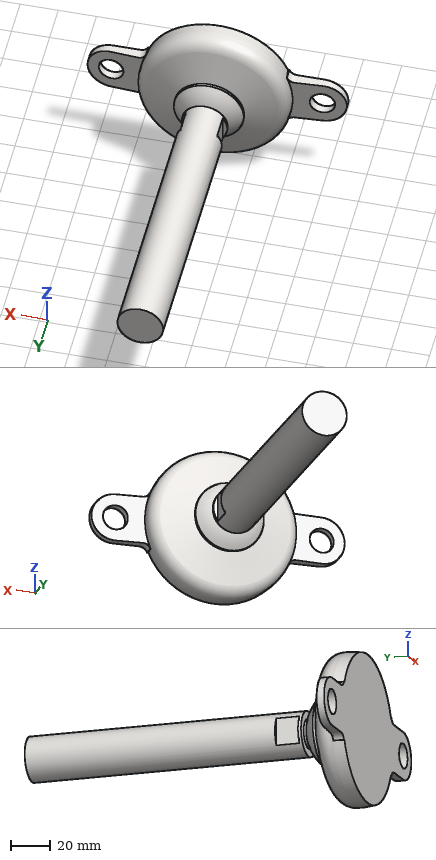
import cadquery as cq
import math

total_length = 181.5

stem_radius = 12.0
stem_start = 32.0
flat_half_spacing = 9.6
flat_start = 33.5
flat_length = 12.5
neck_radius = 7.8

ball_radius = 24.0
ball_center_height = stem_start - ball_radius
cap_base_height = 23.5
collar_base_height = 22.0

foot_radius = 80.0 / 2
foot_base_radius = 39.4
taper_height = 6.2
shoulder_start = 8.9
shoulder_radius = 7.8
cone_angle = math.radians(21.7)

ear_hole_spacing = 110.7
ear_half_width = 25.2 / 2
ear_hole_diameter = 13.0
ear_root_height = 5.8
ear_tip_height = 4.0
ear_fillet = 4.5


def ball_radius_at(height):
    return math.sqrt(ball_radius**2 - (height - ball_center_height)**2)


def shoulder_point(angle):
    center_radius = foot_radius - shoulder_radius
    return (
        center_radius + shoulder_radius * math.cos(angle),
        shoulder_start + shoulder_radius * math.sin(angle),
    )


def make_foot():
    collar_radius = ball_radius_at(cap_base_height)
    shoulder_end_angle = math.pi / 2 - cone_angle
    ball_middle_height = (stem_start + cap_base_height) / 2
    return (
        cq.Workplane("XY")
        .lineTo(foot_base_radius, 0)
        .lineTo(foot_radius, taper_height)
        .lineTo(foot_radius, shoulder_start)
        .threePointArc(shoulder_point(shoulder_end_angle / 2), shoulder_point(shoulder_end_angle))
        .lineTo(collar_radius, collar_base_height)
        .lineTo(collar_radius, cap_base_height)
        .threePointArc((ball_radius_at(ball_middle_height), ball_middle_height), (0, stem_start))
        .close()
        .revolve(360, (0, 0, 0), (0, 1, 0))
    )


def along_y(start):
    return cq.Workplane(cq.Plane((0, start, 0), xDir=(1, 0, 0), normal=(0, 1, 0)))


def make_ears():
    tip = ear_hole_spacing / 2 + ear_half_width
    disc = along_y(0).circle(foot_radius).extrude(ear_root_height)
    bar = along_y(0).slot2D(2 * tip, 2 * ear_half_width).extrude(ear_root_height)

    corner_x = math.sqrt(foot_radius**2 - ear_half_width**2)
    plate = disc.union(bar)
    for x in (-corner_x, corner_x):
        for z in (-ear_half_width, ear_half_width):
            corner = cq.selectors.NearestToPointSelector((x, ear_root_height / 2, z))
            plate = plate.edges("|Y").edges(corner).fillet(ear_fillet)

    root_half_width = (ear_half_width + ear_fillet) * foot_radius / (foot_radius + ear_fillet)

    side_profile = (
        cq.Workplane("XY")
        .polyline([
            (-tip, 0),
            (tip, 0),
            (tip, ear_tip_height),
            (foot_radius, ear_root_height),
            (-foot_radius, ear_root_height),
            (-tip, ear_tip_height),
        ])
        .close()
        .extrude(root_half_width, both=True)
    )
    holes = (
        along_y(0)
        .pushPoints([(-ear_hole_spacing / 2, 0), (ear_hole_spacing / 2, 0)])
        .circle(ear_hole_diameter / 2)
        .extrude(ear_root_height)
    )
    return plate.intersect(side_profile).cut(holes)


def make_stem():
    stem = along_y(stem_start).circle(stem_radius).extrude(total_length - stem_start)
    for side in (-1, 1):
        flat_cutter = cq.Workplane("XY").box(stem_radius, flat_length, 2 * stem_radius).translate(
            (side * (flat_half_spacing + stem_radius / 2), flat_start + flat_length / 2, 0)
        )
        stem = stem.cut(flat_cutter)
    neck = along_y(cap_base_height).circle(neck_radius).extrude(stem_start - cap_base_height)
    return stem.union(neck)


result = make_foot().union(make_ears()).union(make_stem())